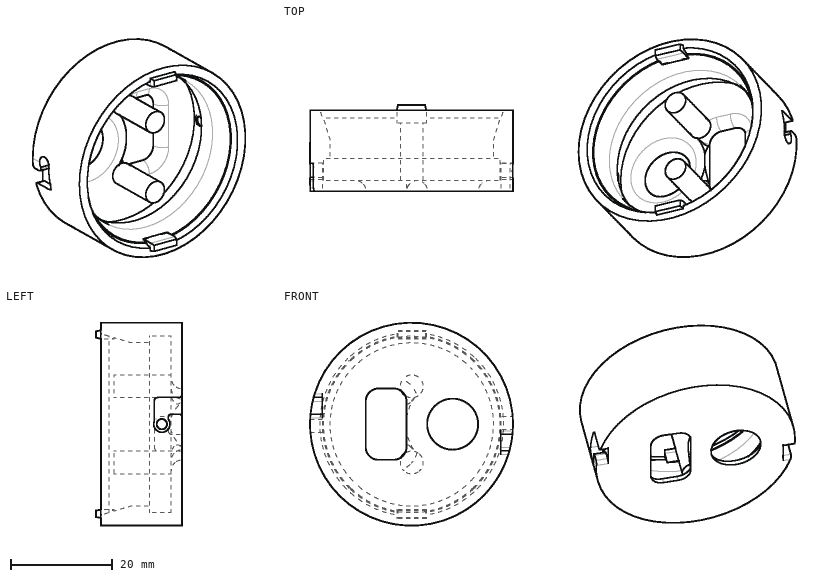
import cadquery as cq
import math

outer_radius = 20.0
depth = 16.0
plate_thickness = 2.2
front_cavity_radius = 17.4
rib_radius = 16.1
rib_front = 6.5
rib_rear = 10.2
flare_step_y = 14.5
flare_radius_before_step = 17.4
flare_radius_after_step = 17.6
rear_bore_radius = 18.1

window_width = 8.0
window_height = 14.0
window_corner_radius = 2.5
window_center_x = -5.0
port_radius = 5.0
port_center_x = 8.1

mouth_rounding = 2.15

collar_front_radius = 10.2
collar_rear_radius = 9.2

post_radius = 2.25
post_center_z = 7.5
post_rear = 13.5

tab_center_z = 17.65
tab_height = 1.0
tab_root_depth = 2.5
tab_base_width = 5.8
tab_base_thickness = 1.7
tab_inset = 0.2

slot_floor_x = 17.6
slot_rear = 5.5
slot_top = 5.25
lip_top = 2.0
lip_rear = 2.75
slot_corner_radius = 0.7
pin_pocket_radius = 1.6
pin_hole_radius = 1.0
pin_center_y = 4.0


def cylinder(x, z, radius, y_start, y_end):
    """Solid cylinder parallel to Y."""
    plane = cq.Workplane("XZ", origin=(x, y_start, z))
    return plane.circle(radius).extrude(y_start - y_end)


def cone(x, front_radius, rear_radius, y_start, y_end):
    """Solid truncated cone parallel to Y, at Z = 0."""
    plane = cq.Workplane("XZ", origin=(x, y_start, 0)).circle(front_radius)
    return plane.workplane(offset=y_start - y_end).circle(rear_radius).loft()


def make_shell():
    """Side wall with its inner steps, without the front plate."""
    shell = cylinder(0, 0, outer_radius, 0, depth)
    shell = shell.cut(cylinder(0, 0, front_cavity_radius, 0, rib_front))
    shell = shell.cut(cylinder(0, 0, rib_radius, rib_front, rib_rear))
    shell = shell.cut(cone(0, rib_radius, flare_radius_before_step, rib_rear, flare_step_y))
    return shell.cut(cone(0, flare_radius_after_step, rear_bore_radius, flare_step_y, depth))


def make_window():
    plane = cq.Workplane("XZ", origin=(window_center_x, 0, 0))
    window = plane.rect(window_width, window_height).extrude(-plate_thickness)
    return window.edges("|Y").fillet(window_corner_radius)


def make_plate():
    """Front plate with the window and the port, both rounded on the rear side."""
    window = make_window()
    plate = cylinder(0, 0, front_cavity_radius, 0, plate_thickness).cut(window)
    plate = plate.faces(">Y").wires(cq.selectors.LengthNthSelector(0)).edges().fillet(mouth_rounding)

    port = cylinder(port_center_x, 0, port_radius, 0, plate_thickness)
    collar = cone(port_center_x, collar_front_radius, collar_rear_radius, 0, plate_thickness)
    ring = collar.cut(port)
    ring = ring.faces(">Y").edges(cq.selectors.RadiusNthSelector(0)).fillet(mouth_rounding)
    return plate.cut(collar).union(ring.cut(window))


def make_tab(side):
    """Rear tab rooted in the side wall; side is +1 for the upper one, -1 for the lower one."""
    root = cq.Workplane("XZ", origin=(0, depth - tab_root_depth, side * tab_center_z))
    root = root.rect(tab_base_width, tab_base_thickness).extrude(-tab_root_depth)
    tip = cq.Workplane("XZ", origin=(0, depth, side * tab_center_z))
    tip = tip.rect(tab_base_width, tab_base_thickness).workplane(offset=-tab_height)
    tip = tip.rect(tab_base_width - 2 * tab_inset, tab_base_thickness - 2 * tab_inset).loft()
    return root.union(tip)


def make_bayonet_slot():
    """Cutter for the left slot: entry at the front, then a turn down to a round pin pocket."""
    r = slot_corner_radius
    near = r * (1 - math.sqrt(0.5))
    floor_plane = cq.Workplane("YZ", origin=(-slot_floor_x, 0, 0))
    cut_length = slot_floor_x - outer_radius
    channel = (
        floor_plane.moveTo(0, slot_top + r)
        .threePointArc((near, slot_top + near), (r, slot_top))
        .lineTo(slot_rear - r, slot_top)
        .threePointArc((slot_rear - near, slot_top - near), (slot_rear, slot_top - r))
        .lineTo(slot_rear, 0)
        .lineTo(lip_rear, 0)
        .lineTo(lip_rear, lip_top - r)
        .threePointArc((lip_rear - near, lip_top - near), (lip_rear - r, lip_top))
        .lineTo(r, lip_top)
        .threePointArc((near, lip_top - near), (0, lip_top - r))
        .close()
        .extrude(cut_length)
    )
    pocket = floor_plane.center(pin_center_y, 0).circle(pin_pocket_radius).extrude(cut_length)
    return channel.union(pocket)


def make_pin_hole():
    plane = cq.Workplane("YZ", origin=(0, pin_center_y, 0))
    return plane.circle(pin_hole_radius).extrude(outer_radius, both=True)


body = make_shell().union(make_plate())

for side in (1, -1):
    body = body.union(cylinder(0, side * post_center_z, post_radius, plate_thickness, post_rear))
    body = body.union(make_tab(side))

for angle in (0, 180):
    body = body.cut(make_bayonet_slot().rotate((0, 0, 0), (0, 1, 0), angle))

result = body.cut(make_pin_hole())